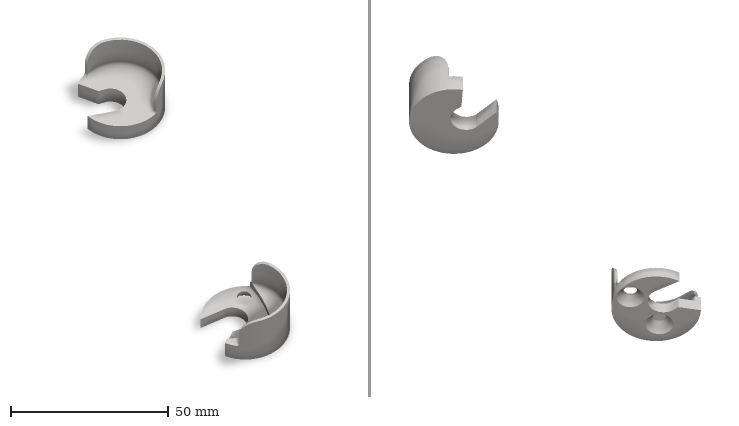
import cadquery as cq
import math

overall_length = 133.2
outer_radius = 14.3
cup_offset = overall_length / 2 - outer_radius
cup_height = 17.0
floor_height = 6.0

wall_thickness = 1.0
inner_radius = outer_radius - wall_thickness
wall_root_fillet = 1.0
end_foot_fillet = 0.8
wall_corner_radius = 6.4
wall_angle = 30.5

slot_radius = 5.0
slot_center_x = 1.3
slot_center_y = -4.0
slot_corner_y = -6.0
slot_left_mouth = (-9.3, -10.9)
slot_right_mouth = (5.0, -13.3)
slot_overrun = 1.5

pad_height = 4.0
pad_back_start = (-12.5, 6.8)
pad_back_middle = (-3.5, 7.6)
pad_corner = (9.2, 5.7)
pad_side_middle = (9.7, -0.5)
pad_side_end = (7.5, -9.9)
pad_corner_fillet = 2.1
hole_diameter = 4.5
hole_land = 1.3
countersink_diameter = 8.8
hole_xs = (-9.0, 6.0)
hole_y = 3.3


def extend(start, end, factor):
    """Point on the line from start through end, at factor times its length."""
    return tuple(a + factor * (b - a) for a, b in zip(start, end))


def make_wall_blank():
    """Half cylinder with rounded upper corners and a concave fillet at the foot of its end plane."""
    diagonal = math.sqrt(0.5)
    corner_inset = wall_corner_radius * (1 - diagonal)
    foot_inset = end_foot_fillet * (1 - diagonal)
    half_block = (
        cq.Workplane("YZ")
        .moveTo(outer_radius, 0)
        .lineTo(outer_radius, cup_height)
        .lineTo(wall_corner_radius, cup_height)
        .threePointArc((corner_inset, cup_height - corner_inset), (0, cup_height - wall_corner_radius))
        .lineTo(0, floor_height + end_foot_fillet)
        .threePointArc((-foot_inset, floor_height + foot_inset), (-end_foot_fillet, floor_height))
        .lineTo(-end_foot_fillet, 0)
        .close()
        .extrude(outer_radius, both=True)
        .rotate((0, 0, 0), (0, 0, 1), wall_angle)
    )
    return cq.Workplane("XY").circle(outer_radius).extrude(cup_height).intersect(half_block)


def make_cavity():
    """Round space above the floor, with a rounded lower edge."""
    return (
        cq.Workplane("XY", origin=(0, 0, floor_height))
        .circle(inner_radius)
        .extrude(cup_height)
        .faces("<Z")
        .edges()
        .fillet(wall_root_fillet)
    )


def make_slot():
    """Round-ended slot that widens towards the rim."""
    left = slot_center_x - slot_radius
    right_tangent = (slot_center_x + slot_radius, slot_center_y)
    left_corner = (left, slot_corner_y)
    return (
        cq.Workplane("XY")
        .moveTo(*right_tangent)
        .threePointArc((slot_center_x, slot_center_y + slot_radius), (left, slot_center_y))
        .lineTo(*left_corner)
        .lineTo(*extend(left_corner, slot_left_mouth, slot_overrun))
        .lineTo(*extend(right_tangent, slot_right_mouth, slot_overrun))
        .close()
        .extrude(floor_height)
    )


def make_cup():
    """Slotted floor disc with a curved wall, centred on the Z axis."""
    floor = cq.Workplane("XY").circle(outer_radius).extrude(floor_height)
    return floor.union(make_wall_blank()).cut(make_cavity()).cut(make_slot())


def make_pad_recess():
    """Region above the lowered pad, bounded by two bowed edges and reaching past the wall foot fillet."""
    outside = -2 * outer_radius
    recess_depth = floor_height + end_foot_fillet - pad_height
    return (
        cq.Workplane("XY", origin=(0, 0, pad_height))
        .moveTo(*pad_back_start)
        .threePointArc(pad_back_middle, pad_corner)
        .threePointArc(pad_side_middle, pad_side_end)
        .lineTo(pad_side_end[0], outside)
        .lineTo(outside, outside)
        .lineTo(outside, pad_back_start[1])
        .close()
        .extrude(recess_depth)
        .edges(cq.selectors.NearestToPointSelector((*pad_corner, pad_height + recess_depth / 2)))
        .fillet(pad_corner_fillet)
    )


def make_screw_hole(x):
    """Hole through the pad, widening as a cone to the underside."""
    cone_height = pad_height - hole_land
    profile = [
        (0, 0),
        (countersink_diameter / 2, 0),
        (hole_diameter / 2, cone_height),
        (hole_diameter / 2, floor_height),
        (0, floor_height),
    ]
    hole = cq.Workplane("XZ").polyline(profile).close().revolve(360, (0, 0), (0, 1))
    return hole.translate((x, hole_y, 0))


def make_plain_cup():
    """Left cup."""
    return make_cup().translate((-cup_offset, 0, 0))


def make_drilled_cup():
    """Right cup: mirror image of the left one, with a lowered pad and screw holes."""
    cup = make_cup().mirror("YZ").cut(make_pad_recess())
    for x in hole_xs:
        cup = cup.cut(make_screw_hole(x))
    return cup.translate((cup_offset, 0, 0))


plain_cup = make_plain_cup()
drilled_cup = make_drilled_cup()

result = cq.Compound.makeCompound([*plain_cup.vals(), *drilled_cup.vals()])